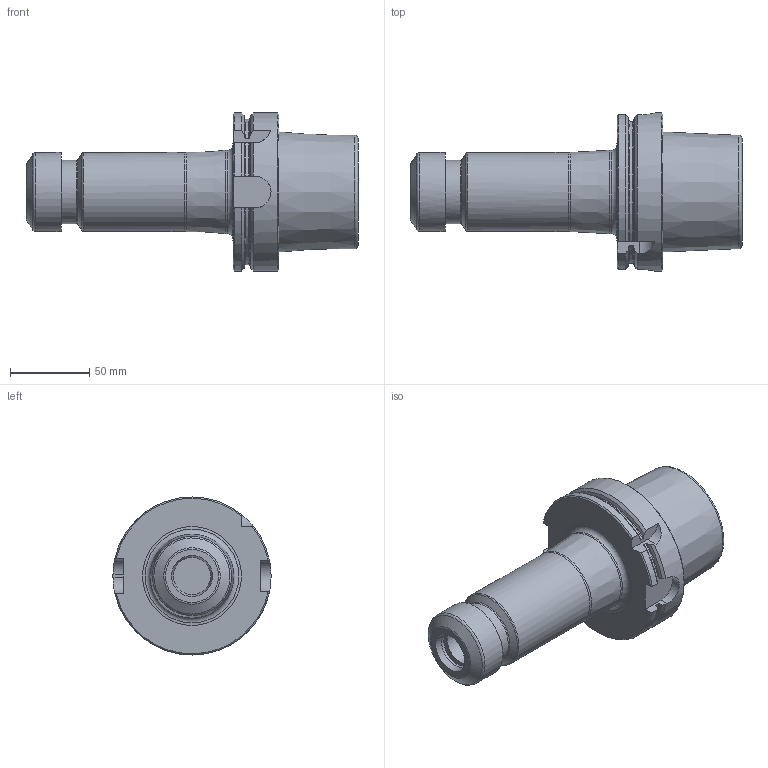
import cadquery as cq


nut_radius = 25.0
nut_length = 22.2
nut_tip_corner_radius = 17.4
nut_cone_length = 5.0
nut_rounding = 2.0

neck_radius = 20.0
neck_end = 32.5
shoulder_length = 3.2
shoulder_rounding = 1.0
body_radius = 25.0
body_end = 100.0
body_blend_length = 1.3
collar_radius = 26.4
collar_start = 126.4
collar_end = 127.6
flange_fillet = 3.2
flange_boss_radius = 31.3

flange_radius = 50.0
flange_front = 131.0
flange_back = 160.0
flange_edge_chamfer = 0.8

groove_center = 140.0
groove_width = 7.4
groove_floor_radius = 46.0
groove_floor_width = 2.8
groove_throat_radius = 48.3
groove_throat_width = 4.2
groove_floor_fillet = 0.6

shank_front_radius = 37.95
shank_back_radius = 35.75
shank_length = 50.0
shank_end_rounding = 2.0

bore_radius = 11.75
bore_depth = 40.0
bore_mouth_radius = 13.0
bore_mouth_depth = 4.0
relief_radius = 19.25
relief_start = 6.0
relief_end = 9.0

slot_floor = 43.5
slot_end = 155.0
cutter_radius = 10.0
narrow_slot_width = 20.0
wide_slot_width = 22.0
notch_y = 31.4
notch_z = 31.2


def revolve_about_x(outline):
    return outline.close().revolve(360, (0, 0, 0), (1, 0, 0))


def circles_within(start, end, radius):
    """Select circular edges about the axis between two X stations, up to the given radius."""
    margin = 0.1
    reach = radius + margin
    box = cq.selectors.BoxSelector(
        (start - margin, -reach, -reach), (end + margin, reach, reach), boundingbox=True
    )
    return cq.selectors.AndSelector(box, cq.selectors.TypeSelector("CIRCLE"))


def nut_and_extension():
    nut = revolve_about_x(
        cq.Workplane("XY")
        .lineTo(0, nut_tip_corner_radius)
        .lineTo(nut_cone_length, nut_radius)
        .lineTo(nut_length, nut_radius)
        .lineTo(nut_length, 0)
    )
    tip_rims = circles_within(0, nut_cone_length, nut_radius)
    nut = nut.edges(tip_rims).fillet(nut_rounding)
    blend_end = body_end + body_blend_length
    taper_run = collar_start - body_end - body_blend_length / 2
    blend_radius = body_radius + (collar_radius - body_radius) * body_blend_length / 2 / taper_run
    extension = revolve_about_x(
        cq.Workplane("XY")
        .moveTo(nut_length, 0)
        .lineTo(nut_length, neck_radius)
        .lineTo(neck_end, neck_radius)
        .lineTo(neck_end + shoulder_length, body_radius)
        .lineTo(body_end, body_radius)
        .tangentArcPoint((blend_end, blend_radius), relative=False)
        .lineTo(collar_start, collar_radius)
        .lineTo(collar_end, collar_radius)
        .radiusArc((collar_end + flange_fillet, collar_radius + flange_fillet), -flange_fillet)
        .lineTo(flange_front, flange_boss_radius)
        .lineTo(flange_front, 0)
    )
    shoulder_edges = circles_within(neck_end, neck_end + shoulder_length, body_radius)
    extension = extension.edges(shoulder_edges).fillet(shoulder_rounding)
    return nut.union(extension)


def flange():
    disc = (
        cq.Workplane("YZ", origin=(flange_front, 0, 0))
        .circle(flange_radius)
        .extrude(flange_back - flange_front)
        .edges()
        .chamfer(flange_edge_chamfer)
    )
    half_widths = [
        (groove_floor_radius, groove_floor_width / 2),
        (groove_throat_radius, groove_throat_width / 2),
        (flange_radius, groove_width / 2),
    ]
    front_wall = [(groove_center - half, radius) for radius, half in half_widths]
    back_wall = [(groove_center + half, radius) for radius, half in half_widths]
    groove = revolve_about_x(cq.Workplane("XY").polyline(front_wall + back_wall[::-1]))
    near_floor = circles_within(
        groove_center - groove_floor_width / 2, groove_center + groove_floor_width / 2, groove_floor_radius
    )
    return disc.cut(groove).edges(near_floor).fillet(groove_floor_fillet)


def taper_shank():
    shank_end = flange_back + shank_length
    shank = revolve_about_x(
        cq.Workplane("XY")
        .moveTo(flange_back, 0)
        .lineTo(flange_back, shank_front_radius)
        .lineTo(shank_end, shank_back_radius)
        .lineTo(shank_end, 0)
    )
    return shank.faces(">X").edges().fillet(shank_end_rounding)


def collet_bore():
    return revolve_about_x(
        cq.Workplane("XY")
        .lineTo(0, bore_mouth_radius)
        .lineTo(bore_mouth_depth, bore_radius)
        .lineTo(relief_start, bore_radius)
        .lineTo(relief_start, relief_radius)
        .lineTo(relief_end, relief_radius)
        .lineTo(relief_end, bore_radius)
        .lineTo(bore_depth, bore_radius)
        .lineTo(bore_depth, 0)
    )


def drive_slot(width, side):
    """Slot open to the flange front, cut from the rim at +Y (side 1) or -Y (side -1)."""
    half = width / 2
    cutter_x = slot_end - cutter_radius
    flat_half = half - cutter_radius
    outline = (
        cq.Workplane("XZ", origin=(0, side * slot_floor, 0))
        .moveTo(flange_front, -half)
        .lineTo(cutter_x, -half)
    )
    if flat_half > 0:
        outline = (
            outline.radiusArc((slot_end, -flat_half), -cutter_radius)
            .lineTo(slot_end, flat_half)
            .radiusArc((cutter_x, half), -cutter_radius)
        )
    else:
        outline = outline.threePointArc((slot_end, 0), (cutter_x, half))
    return outline.lineTo(flange_front, half).close().extrude(-side * (flange_radius - slot_floor))


def orientation_notch():
    size = flange_radius
    return (
        cq.Workplane("XZ", origin=(0, -notch_y, 0))
        .moveTo(flange_front, notch_z)
        .lineTo(slot_end - cutter_radius, notch_z)
        .radiusArc((slot_end, notch_z + cutter_radius), -cutter_radius)
        .lineTo(slot_end, size)
        .lineTo(flange_front, size)
        .close()
        .extrude(size - notch_y)
    )


result = (
    nut_and_extension()
    .union(flange())
    .union(taper_shank())
    .cut(collet_bore())
    .cut(drive_slot(narrow_slot_width, -1))
    .cut(drive_slot(wide_slot_width, 1))
    .cut(orientation_notch())
)